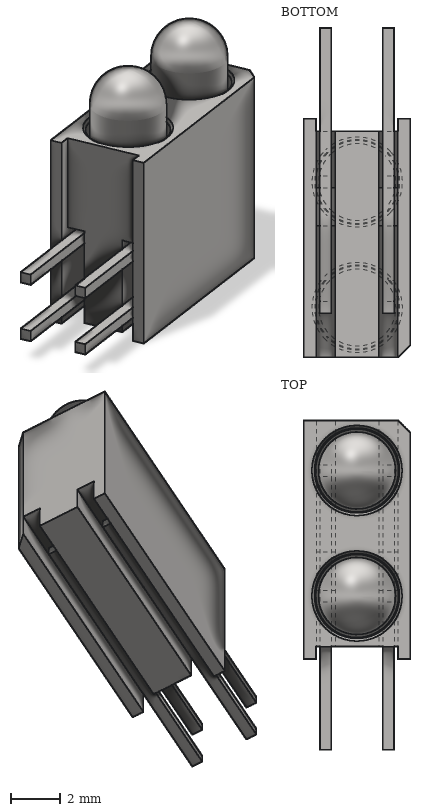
import cadquery as cq
import math

housing_width = 4.32
housing_depth = 9.67
housing_height = 8.12
corner_chamfer = 0.5
side_wall = 0.51
recess_depth = 0.51
center_rib_width = 1.76
half_width = housing_width / 2

lamp_pitch = 5.08
rear_margin = 2.03
rear_lamp_y = housing_depth - rear_margin
front_lamp_y = rear_lamp_y - lamp_pitch
lamp_radius = 1.56
total_height = 10.74
flange_radius = 1.68
flange_thickness = 1.0

bore_radius = 1.72
bore_depth = 2.6
bore_mouth_chamfer = 0.11
bore_floor = housing_height - bore_depth

lead_size = 0.47
lead_spacing = 2.53
overall_length = 13.34
lead_tip_y = housing_depth - overall_length
lower_lead_z = 1.12
upper_lead_z = lower_lead_z + lead_spacing

slot_mouth_height = 4.12
slot_front_ceiling = 3.92
slot_rear_ceiling = 1.39
mouth_slope = 10
step_slope = 58.5


def make_housing():
    """Block with a chamfered rear corner and a full-height recess between the front wall edges."""
    block = (
        cq.Workplane("XY")
        .box(housing_width, housing_depth, housing_height, centered=(True, False, False))
        .edges("|Z and >X and >Y")
        .chamfer(corner_chamfer)
    )
    recess = cq.Workplane("XY").box(
        housing_width - 2 * side_wall, recess_depth, housing_height, centered=(True, False, False)
    )
    return block.cut(recess)


def make_lead_slot(side):
    """Slot beside the center rib, its ceiling stepping down behind the front lamp's leads."""
    inner_x = center_rib_width / 2
    slot_width = half_width - side_wall - inner_x
    mouth_drop = slot_mouth_height - slot_front_ceiling
    mouth_end_y = recess_depth + mouth_drop / math.tan(math.radians(mouth_slope))
    step_start_y = front_lamp_y + lead_size / 2
    step_drop = slot_front_ceiling - slot_rear_ceiling
    step_end_y = step_start_y + step_drop / math.tan(math.radians(step_slope))
    profile = [
        (recess_depth, 0),
        (recess_depth, slot_mouth_height),
        (mouth_end_y, slot_front_ceiling),
        (step_start_y, slot_front_ceiling),
        (step_end_y, slot_rear_ceiling),
        (housing_depth, slot_rear_ceiling),
        (housing_depth, 0),
    ]
    slot_center_x = side * (inner_x + slot_width / 2)
    return (
        cq.Workplane("YZ", origin=(slot_center_x, 0, 0))
        .polyline(profile)
        .close()
        .extrude(slot_width / 2, both=True)
    )


def make_lamp_bore(lamp_y):
    """Blind bore for a lamp, widened by a chamfer at its mouth."""
    mouth_radius = bore_radius + bore_mouth_chamfer
    return (
        cq.Workplane("XZ", origin=(0, lamp_y, 0))
        .moveTo(0, bore_floor)
        .lineTo(bore_radius, bore_floor)
        .lineTo(bore_radius, housing_height - bore_mouth_chamfer)
        .lineTo(mouth_radius, housing_height)
        .lineTo(0, housing_height)
        .close()
        .revolve(360, (0, 0, 0), (0, 1, 0))
    )


def make_lamp(lamp_y):
    """Flanged cylinder with a hemispherical dome, standing on the bore floor."""
    flange_top = bore_floor + flange_thickness
    dome_base = total_height - lamp_radius
    dome_mid = lamp_radius * math.sqrt(0.5)
    return (
        cq.Workplane("XZ", origin=(0, lamp_y, 0))
        .moveTo(0, bore_floor)
        .lineTo(flange_radius, bore_floor)
        .lineTo(flange_radius, flange_top)
        .lineTo(lamp_radius, flange_top)
        .lineTo(lamp_radius, dome_base)
        .threePointArc((dome_mid, dome_base + dome_mid), (0, total_height))
        .close()
        .revolve(360, (0, 0, 0), (0, 1, 0))
    )


def make_lead(lead_x, lead_z, lamp_y):
    """Square lead running back from its tip and bending up to the underside of its lamp."""
    back_y = lamp_y + lead_size / 2
    bottom_z = lead_z - lead_size / 2
    profile = [
        (lead_tip_y, bottom_z),
        (back_y, bottom_z),
        (back_y, bore_floor),
        (back_y - lead_size, bore_floor),
        (back_y - lead_size, bottom_z + lead_size),
        (lead_tip_y, bottom_z + lead_size),
    ]
    return (
        cq.Workplane("YZ", origin=(lead_x, 0, 0))
        .polyline(profile)
        .close()
        .extrude(lead_size / 2, both=True)
    )


result = make_housing()

for side in (-1, 1):
    result = result.cut(make_lead_slot(side))

for lamp_y, lead_z in ((front_lamp_y, upper_lead_z), (rear_lamp_y, lower_lead_z)):
    result = result.cut(make_lamp_bore(lamp_y)).union(make_lamp(lamp_y))
    for side in (-1, 1):
        result = result.union(make_lead(side * lead_spacing / 2, lead_z, lamp_y))